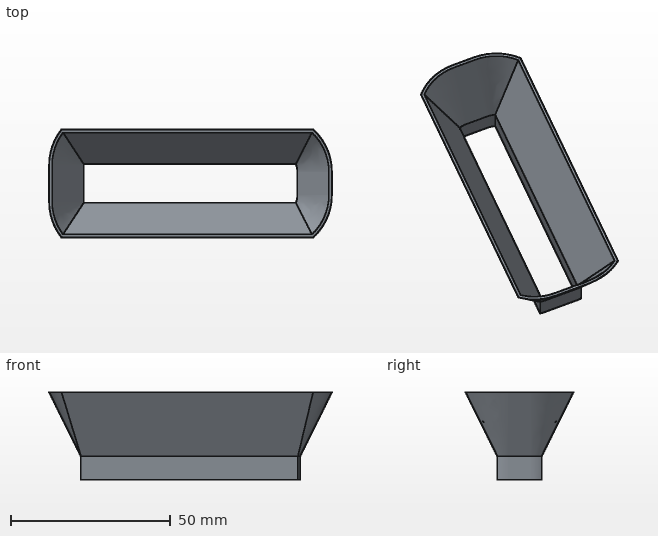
import cadquery as cq
import math

rim_length = 88.6
rim_width = 33.85
total_height = 27.5
collar_height = 7.4
wall = 1.0

flare_spread = 9.9

collar_end_radius = 8.0
left_flat_half = 5.8
right_flat_half = 3.6


def arc_points(end_x, side, flat_half, half_width, radius):
    """Midpoint and outer end of the upper arc at one end; side is -1 (left) or 1 (right)."""
    center_x = end_x - side * radius
    sweep = math.asin((half_width - flat_half) / radius)

    def on_arc(angle):
        return (center_x + side * radius * math.cos(angle), flat_half + radius * math.sin(angle))

    return on_arc(sweep / 2), on_arc(sweep)


def mirrored(point):
    """Reflect a point across the X axis."""
    return (point[0], -point[1])


def outline(offset, height):
    """Closed wire at a height, offset outward from the outside of the collar."""
    half_length = rim_length / 2 - flare_spread + offset
    half_width = rim_width / 2 - flare_spread + offset
    radius = collar_end_radius + offset
    left_mid, left_corner = arc_points(-half_length, -1, left_flat_half, half_width, radius)
    right_mid, right_corner = arc_points(half_length, 1, right_flat_half, half_width, radius)
    return (
        cq.Workplane("XY", origin=(0, 0, height))
        .moveTo(*left_corner)
        .lineTo(*right_corner)
        .threePointArc(right_mid, (half_length, right_flat_half))
        .lineTo(half_length, -right_flat_half)
        .threePointArc(mirrored(right_mid), mirrored(right_corner))
        .lineTo(*mirrored(left_corner))
        .threePointArc(mirrored(left_mid), (-half_length, -left_flat_half))
        .lineTo(-half_length, left_flat_half)
        .threePointArc(left_mid, left_corner)
        .close()
        .val()
    )


def funnel_body(offset):
    """Solid straight collar topped by the flare, offset from the outside surface."""
    bottom = outline(offset, 0)
    neck = outline(offset, collar_height)
    rim = outline(offset + flare_spread, total_height)
    collar = cq.Solid.makeLoft([bottom, neck], True)
    flare = cq.Solid.makeLoft([neck, rim], True)
    return cq.Workplane(obj=collar).union(cq.Workplane(obj=flare))


result = funnel_body(0).cut(funnel_body(-wall))